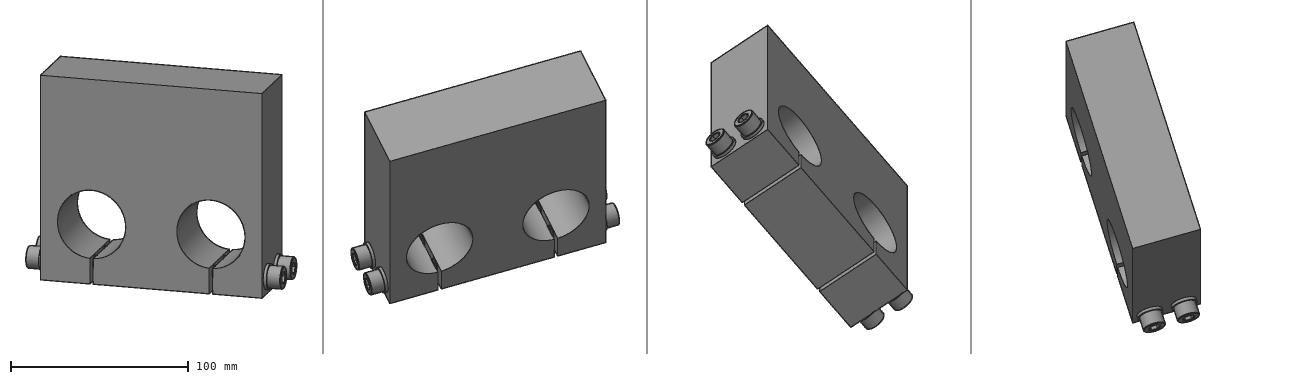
import cadquery as cq
import math

overall_length = 149.6
block_length = 130.0
block_depth = 40.0
block_height = 120.0
bore_diameter = 40.0
bore_spacing = 70.0
bore_height = 35.0
slot_width = 2.0

washer_diameter = 15.0
washer_hole_diameter = 8.4
washer_thickness = 1.8

screw_spacing = 20.0
screw_height = 10.0
head_diameter = 13.0
head_length = (overall_length - block_length) / 2 - washer_thickness
head_chamfer = 0.5
socket_flats = 6.0
socket_depth = 4.0
socket_corners = socket_flats / math.cos(math.pi / 6)
countersink_diameter = 7.2
countersink_depth = 0.3
shank_diameter = 8.0
shank_length = 40.0

thread_root_diameter = 6.7
thread_pitch = 1.25
thread_length = 28.0
groove_count = math.floor(thread_length / thread_pitch)

ends = (-1, 1)
screw_rows = (-screw_spacing / 2, screw_spacing / 2)


def place_at_end(body, end, y):
    """Move a body built along +X from a seat at the origin onto one end face of the block."""
    if end > 0:
        body = body.rotate((0, 0, 0), (0, 0, 1), 180)
    return body.translate((end * block_length / 2, y, screw_height))


def make_block():
    block = cq.Workplane("XY").box(
        block_length, block_depth, block_height, centered=(True, True, False)
    )
    for end in ends:
        bore_x = end * bore_spacing / 2
        bore = (
            cq.Workplane("XZ")
            .center(bore_x, bore_height)
            .circle(bore_diameter / 2)
            .extrude(block_depth / 2, both=True)
        )
        slot = (
            cq.Workplane("XY")
            .center(bore_x, 0)
            .rect(slot_width, block_depth)
            .extrude(bore_height)
        )
        block = block.cut(bore).cut(slot)
        for y in screw_rows:
            block = block.cut(place_at_end(make_screw_hole(), end, y))
    return block


def make_screw_hole():
    """Blind hole that the screw shank fills down to its tip."""
    hole_depth = shank_length - washer_thickness
    return cq.Workplane("YZ").circle(shank_diameter / 2).extrude(hole_depth)


def make_washer():
    """Washer with its inner face at X = 0, on the outside of the end face."""
    return (
        cq.Workplane("YZ")
        .circle(washer_diameter / 2)
        .circle(washer_hole_diameter / 2)
        .extrude(-washer_thickness)
    )


def make_screw():
    """Screw pointing along +X, with the underside of its head on the washer."""
    head = (
        cq.Workplane("YZ", origin=(-washer_thickness, 0, 0))
        .circle(head_diameter / 2)
        .extrude(-head_length)
        .faces("<X")
        .chamfer(head_chamfer)
    )
    return head.cut(make_socket()).union(make_shank())


def make_socket():
    """Cutter for the hexagon socket, flats up and down, with a shallow countersink."""
    top = cq.Workplane("YZ", origin=(-washer_thickness - head_length, 0, 0))
    hexagon = top.polygon(6, socket_corners).extrude(socket_depth)
    countersink = (
        top.circle(countersink_diameter / 2)
        .workplane(offset=countersink_depth)
        .circle(socket_flats / 2)
        .loft(ruled=True)
    )
    return hexagon.union(countersink)


def make_shank():
    """Shank turned from one half profile: plain below the head, V grooves towards the tip."""
    crest = shank_diameter / 2
    root = thread_root_diameter / 2
    tip_x = shank_length - washer_thickness
    thread_start_x = tip_x - groove_count * thread_pitch
    profile = [(-washer_thickness, 0), (-washer_thickness, crest), (thread_start_x, crest)]
    for groove in range(groove_count):
        groove_x = thread_start_x + groove * thread_pitch
        profile.append((groove_x + thread_pitch / 2, root))
        profile.append((groove_x + thread_pitch, crest))
    profile.append((tip_x, 0))
    return cq.Workplane("XY").polyline(profile).close().revolve(360, (0, 0, 0), (1, 0, 0))


block = make_block()
washers = [place_at_end(make_washer(), end, y) for end in ends for y in screw_rows]
screws = [place_at_end(make_screw(), end, y) for end in ends for y in screw_rows]

result = cq.Compound.makeCompound(
    [
        block.val(),
        *[washer.val() for washer in washers],
        *[screw.val() for screw in screws],
    ]
)